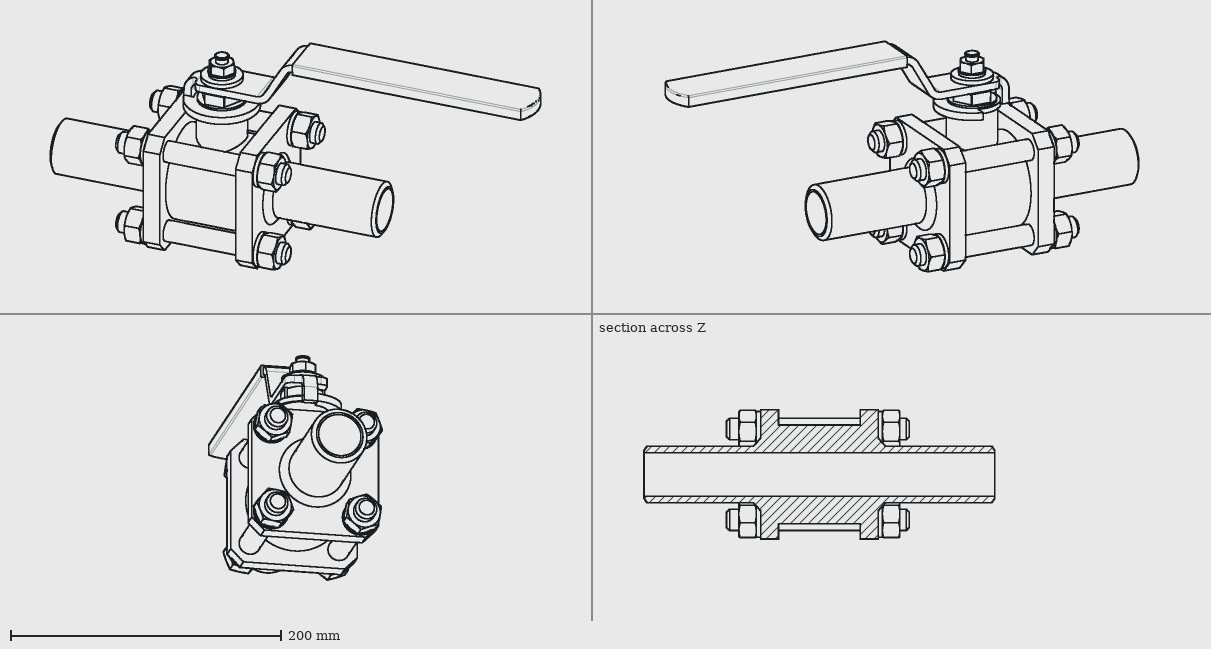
import cadquery as cq
import math


hex_flat_ratio = math.cos(math.radians(30))

pipe_half_length = 130.0
pipe_radius = 21.0
bore_radius = 16.0
pipe_chamfer_length = 2.3
pipe_chamfer_depth = 3.5
hub_radius = 27.0
hub_end_x = 49.0
body_radius = 36.5

plate_size = 96.0
plate_inner_x = 30.0
plate_outer_x = 43.5
plate_chamfer = 9.5
plate_thickness = plate_outer_x - plate_inner_x

rod_offset = 33.5
rod_radius = 8.0
rod_left_length = 68.8
rod_right_length = 66.5
rod_chamfer = 2.3
rod_washer_radius = 13.0
rod_washer_thickness = 3.0
rod_nut_corner_radius = 14.0
rod_nut_height = 13.0
rod_nut_turn = -21.0

neck_radius = 19.0
disc_bottom_z = 61.5
disc_thickness = 5.7
disc_radius = 28.5
disc_notch_offset = 5.5
disc_ledge_radius = 21.0
disc_ledge_thickness = 4.0
lock_washer_radius = 18.5
lock_washer_thickness = 1.5
lock_tab_width = 15.3
gland_nut_corner_radius = 15.5
gland_nut_height = 8.8
disc_top_z = disc_bottom_z + disc_thickness
lock_washer_top_z = disc_top_z + lock_washer_thickness

lever_bottom_z = 78.7
lever_thickness = 5.7
lever_width = 32.0
lever_bend_radius = 9.0
lever_lower_bend_x = 39.5
lever_upper_bend_x = 58.0
lever_rise = 32.5
lever_end_x = -16.5
lever_corner_length = 5.0
lever_shoulder_y = 10.0
stop_tab_outer_x = -28.3
stop_tab_width = 10.5
lever_mid_z = lever_bottom_z + lever_thickness / 2
lever_top_z = lever_bottom_z + lever_thickness

grip_start_x = 63.5
grip_end_x = 252.2
grip_width = 36.3
grip_height = 9.0
grip_end_bulge = 6.5
grip_edge_fillet = 1.0
grip_mid_z = lever_mid_z + lever_rise

lever_washer_radius = 15.5
lever_washer_thickness = 3.5
spring_washer_radius = 10.0
spring_washer_thickness = 2.3
lever_nut_corner_radius = 10.0
lever_nut_flange_radius = 10.5
lever_nut_flange_thickness = 0.8
lever_nut_height = 7.5
stem_radius = 4.5
stem_head_radius = 5.5
stem_head_height = 1.5
stem_head_chamfer = 0.8
stem_top_z = 104.5


def cylinder_x(radius, start_x, end_x):
    """Cylinder on the X axis."""
    return cq.Workplane("YZ", origin=(start_x, 0, 0)).circle(radius).extrude(end_x - start_x)


def cylinder_z(radius, bottom_z, height):
    """Cylinder on the Z axis."""
    return cq.Workplane("XY", origin=(0, 0, bottom_z)).circle(radius).extrude(height)


def hex_nut(corner_radius, height, chamfer_selector):
    """Hexagonal prism standing on XY with its corners turned down at the selected ends."""
    corner_cut = corner_radius * (1 - hex_flat_ratio)
    prism = cq.Workplane("XY").polygon(6, 2 * corner_radius).extrude(height)
    turned = (
        cq.Workplane("XY").circle(corner_radius).extrude(height)
        .faces(chamfer_selector).chamfer(corner_cut / 2, corner_cut)
    )
    return prism.intersect(turned)


def end_plate(start_x):
    """Square flange plate with chamfered corners."""
    return (
        cq.Workplane("YZ", origin=(start_x, 0, 0))
        .rect(plate_size, plate_size).extrude(plate_thickness)
        .edges("|X").chamfer(plate_chamfer)
    )


def pipe_and_body():
    """Turned pipe and body with the two square end plates."""
    half_outline = [
        (pipe_half_length, 0),
        (pipe_half_length, pipe_radius - pipe_chamfer_depth),
        (pipe_half_length - pipe_chamfer_length, pipe_radius),
        (hub_end_x, pipe_radius),
        (plate_outer_x, hub_radius),
        (plate_inner_x, hub_radius),
        (plate_inner_x, body_radius),
    ]
    mirrored_outline = [(-x, radius) for x, radius in reversed(half_outline)]
    solid = (
        cq.Workplane("XZ").polyline(half_outline + mirrored_outline)
        .close().revolve(360, (0, 0, 0), (1, 0, 0))
    )
    for start_x in (-plate_outer_x, plate_inner_x):
        solid = solid.union(end_plate(start_x))
    return solid


def tie_rod():
    """Rod on the X axis with a washer and a nut outside each end plate."""
    solid = cylinder_x(rod_radius, -rod_left_length, rod_right_length)
    solid = solid.faces("<X or >X").chamfer(rod_chamfer)
    nut_start = plate_outer_x + rod_washer_thickness
    nut = hex_nut(rod_nut_corner_radius, rod_nut_height, "<Z or >Z")
    nut = nut.rotate((0, 0, 0), (0, 1, 0), 90).rotate((0, 0, 0), (1, 0, 0), rod_nut_turn)
    solid = solid.union(nut.translate((nut_start, 0, 0)))
    solid = solid.union(nut.translate((-nut_start - rod_nut_height, 0, 0)))
    solid = solid.union(cylinder_x(rod_washer_radius, plate_outer_x, nut_start))
    return solid.union(cylinder_x(rod_washer_radius, -nut_start, -plate_outer_x))


def bonnet():
    """Neck, notched stop disc, lock washer and gland nut."""
    solid = cylinder_z(neck_radius, 0, disc_top_z)
    disc = cylinder_z(disc_radius, disc_bottom_z, disc_thickness)
    notch = (
        cq.Workplane("XY", origin=(disc_notch_offset, -disc_notch_offset, disc_bottom_z))
        .rect(-2 * disc_radius, 2 * disc_radius, centered=False).extrude(disc_thickness)
    )
    solid = solid.union(disc.cut(notch))
    ledge_bottom_z = disc_top_z - disc_ledge_thickness
    solid = solid.union(cylinder_z(disc_ledge_radius, ledge_bottom_z, disc_ledge_thickness))
    solid = solid.union(cylinder_z(lock_washer_radius, disc_top_z, lock_washer_thickness))
    nut = hex_nut(gland_nut_corner_radius, gland_nut_height, ">Z")
    solid = solid.union(nut.translate((0, 0, lock_washer_top_z)))
    flats = 2 * gland_nut_corner_radius * hex_flat_ratio
    tabs = (
        cq.Workplane("XY", origin=(0, 0, disc_top_z))
        .rect(lock_tab_width, flats + 2 * lock_washer_thickness)
        .extrude(lock_washer_thickness + gland_nut_height)
    )
    return solid.union(tabs)


def lever_side_strip():
    """Full-width strip, from the stop tab through the bends to the grip end."""
    tab_mid_x = stop_tab_outer_x + lever_thickness / 2
    corners = [
        (tab_mid_x, 0, disc_bottom_z),
        (tab_mid_x, 0, lever_mid_z),
        (lever_lower_bend_x, 0, lever_mid_z),
        (lever_upper_bend_x, 0, grip_mid_z),
        (grip_end_x, 0, grip_mid_z),
    ]
    path = cq.Wire.makePolygon([cq.Vector(*corner) for corner in corners])
    bends = path.Vertices()[1:-1]
    path = path.fillet(lever_bend_radius, bends)
    return (
        cq.Workplane("XY", origin=corners[0])
        .rect(lever_thickness, lever_width).sweep(cq.Workplane(obj=path))
    )


def lever():
    """Bent strip trimmed to its plan outline, with the grip fitted."""
    half_width = lever_width / 2
    half_tab = stop_tab_width / 2
    inner_radius = lever_shoulder_y - half_tab
    diagonal = math.sqrt(0.5)
    convex_height = half_width - lever_shoulder_y
    convex_mid = (
        lever_end_x + lever_corner_length * (1 - diagonal),
        lever_shoulder_y + convex_height * diagonal,
    )
    concave_mid = (
        lever_end_x - inner_radius * (1 - diagonal),
        lever_shoulder_y - inner_radius * diagonal,
    )
    outline = (
        cq.Workplane("XY")
        .moveTo(grip_start_x, 0)
        .lineTo(grip_start_x, half_width)
        .lineTo(lever_end_x + lever_corner_length, half_width)
        .threePointArc(convex_mid, (lever_end_x, lever_shoulder_y))
        .threePointArc(concave_mid, (lever_end_x - inner_radius, half_tab))
        .lineTo(stop_tab_outer_x, half_tab)
        .lineTo(stop_tab_outer_x, 0)
        .close().extrude(grip_mid_z + lever_thickness)
    )
    outline = outline.union(outline.mirror("XZ"))
    return lever_side_strip().intersect(outline).union(grip())


def grip():
    """Sleeve over the straight end of the lever, with a bowed end."""
    half_width = grip_width / 2
    side_end_x = grip_end_x - grip_end_bulge
    return (
        cq.Workplane("XY", origin=(0, 0, grip_mid_z - grip_height / 2))
        .moveTo(grip_start_x, -half_width)
        .lineTo(side_end_x, -half_width)
        .threePointArc((grip_end_x, 0), (side_end_x, half_width))
        .lineTo(grip_start_x, half_width)
        .close().extrude(grip_height)
        .faces("<Z or >Z").edges("not <X").fillet(grip_edge_fillet)
    )


def stem_and_lever_nut():
    """Stacked washers, nut and stem end above the lever."""
    washer_top_z = lever_top_z + lever_washer_thickness
    flange_z = washer_top_z + spring_washer_thickness
    nut_z = flange_z + lever_nut_flange_thickness
    head_z = stem_top_z - stem_head_height
    solid = cylinder_z(lever_washer_radius, lever_top_z, lever_washer_thickness)
    solid = solid.union(cylinder_z(spring_washer_radius, washer_top_z, spring_washer_thickness))
    solid = solid.union(cylinder_z(lever_nut_flange_radius, flange_z, lever_nut_flange_thickness))
    nut = hex_nut(lever_nut_corner_radius, lever_nut_height, ">Z")
    solid = solid.union(nut.translate((0, 0, nut_z)))
    solid = solid.union(cylinder_z(stem_radius, disc_top_z, head_z - disc_top_z))
    head = cylinder_z(stem_head_radius, head_z, stem_head_height)
    return solid.union(head.faces(">Z").chamfer(stem_head_chamfer))


result = pipe_and_body().union(bonnet())
rod = tie_rod().translate((0, -rod_offset, rod_offset))
for quarter in range(4):
    result = result.union(rod.rotate((0, 0, 0), (1, 0, 0), 90 * quarter))
result = result.cut(cylinder_x(bore_radius, -pipe_half_length, pipe_half_length))
result = result.union(lever()).union(stem_and_lever_nut())